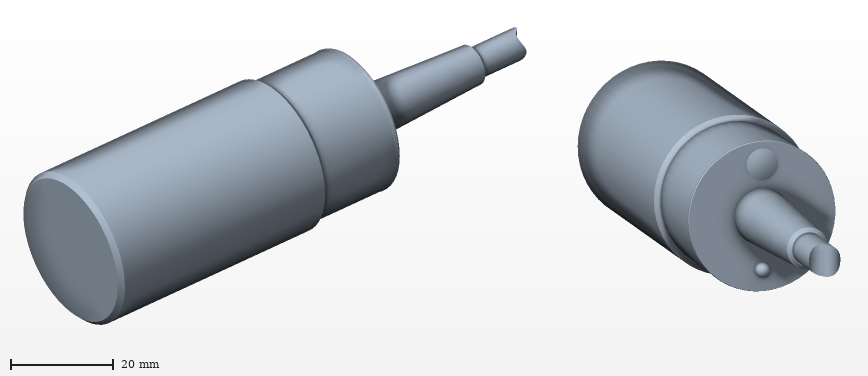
import cadquery as cq

total_length = 110.5

body_radius = 32.0 / 2
body_length = 51.1
body_chamfer = 1.0

cap_radius = 29.8 / 2
cap_end = 69.4
lip_height = 0.1
lip_width = 0.7
lip_end_offset = 0.3

sleeve_base_radius = 11.3 / 2
sleeve_tip_radius = 8.4 / 2
sleeve_end = 99.4
sleeve_chamfer = 0.8

cable_radius = 6.4 / 2
wave_height = 0.9

screw_radius = 6.4 / 2
screw_straight_height = 0.1
screw_dome_height = 0.7
screw_offset = 10.4
lamp_radius = 3.0 / 2
lamp_straight_height = 0.5
lamp_offset = 10.6

overlap = 0.5


def revolve_about_y(profile):
    """Turn a closed XY profile a full turn about the Y direction through X = 0."""
    return profile.close().revolve(360, (0, 0, 0), (0, 1, 0))


def make_housing():
    """Main body, cap and cable sleeve as one turned shape."""
    lip_radius = cap_radius + lip_height
    lip_end = cap_end - lip_end_offset
    lip_start = lip_end - lip_width
    profile = (
        cq.Workplane("XY")
        .lineTo(body_radius - body_chamfer, 0)
        .lineTo(body_radius, body_chamfer)
        .lineTo(body_radius, body_length - body_chamfer)
        .lineTo(body_radius - body_chamfer, body_length)
        .lineTo(cap_radius, body_length)
        .lineTo(cap_radius, lip_start)
        .lineTo(lip_radius, lip_end)
        .lineTo(cap_radius, cap_end)
        .lineTo(sleeve_base_radius, cap_end)
        .lineTo(sleeve_tip_radius, sleeve_end - sleeve_chamfer)
        .lineTo(sleeve_tip_radius - sleeve_chamfer, sleeve_end)
        .lineTo(0, sleeve_end)
    )
    return revolve_about_y(profile)


def make_cable():
    """Cable whose end is cut along an S curve: a crest at -X and a valley at +X."""
    start = sleeve_end - overlap
    wave_middle = total_length - wave_height
    outline = (
        cq.Workplane("XY")
        .moveTo(-cable_radius, start)
        .lineTo(-cable_radius, wave_middle)
        .threePointArc((-cable_radius / 2, total_length), (0, wave_middle))
        .threePointArc((cable_radius / 2, wave_middle - wave_height), (cable_radius, wave_middle))
        .lineTo(cable_radius, start)
        .close()
        .extrude(cable_radius, both=True)
    )
    rod = revolve_about_y(
        cq.Workplane("XY")
        .moveTo(0, start)
        .lineTo(cable_radius, start)
        .lineTo(cable_radius, total_length)
        .lineTo(0, total_length)
    )
    return rod.intersect(outline)


def make_domed_pin(radius, straight_height, dome_height, z):
    """Round pin with a spherical top, standing on the cap end at height z."""
    dome_start = cap_end + straight_height
    sphere_radius = (radius**2 + dome_height**2) / (2 * dome_height)
    sphere_center = dome_start + dome_height - sphere_radius
    half_radius = radius / 2
    half_height = sphere_center + (sphere_radius**2 - half_radius**2) ** 0.5
    pin = revolve_about_y(
        cq.Workplane("XY")
        .moveTo(0, cap_end - overlap)
        .lineTo(radius, cap_end - overlap)
        .lineTo(radius, dome_start)
        .threePointArc((half_radius, half_height), (0, dome_start + dome_height))
    )
    return pin.translate((0, 0, z))


screw_head = make_domed_pin(screw_radius, screw_straight_height, screw_dome_height, screw_offset)
lamp = make_domed_pin(lamp_radius, lamp_straight_height, lamp_radius, -lamp_offset)

result = make_housing().union(make_cable()).union(screw_head).union(lamp)